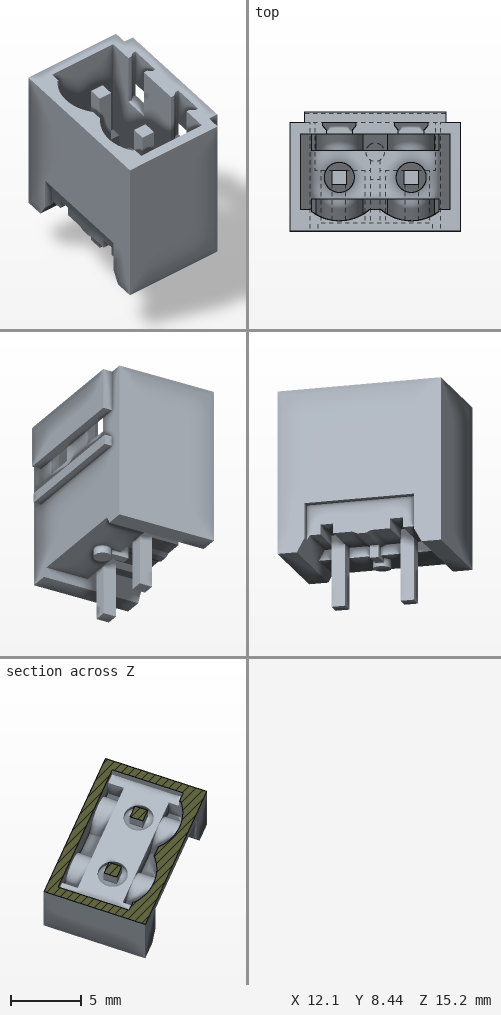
import cadquery as cq
import math


body_width = 12.05
body_depth = 7.7
body_height = 12.0
cavity_width = 10.55
cavity_front = 1.54
cavity_back = 6.89
floor_height = 3.8

pole_pitch = 5.08
pole_xs = (-pole_pitch / 2, pole_pitch / 2)

pin_side = 1.0
pin_y = 3.82
pin_bottom = -3.2
pin_top = 11.11
collar_radius = 1.06
collar_depth = 0.3

pocket_width = 9.03
front_pocket_back = 2.3
back_pocket_front = 5.7
dome_half_width = 1.28
dome_angle = math.radians(58)
dome_foot_half_width = 1.65
dome_below_floor = 0.08

scallop_front = 0.75
scallop_radius = 3.25

rib_width = 10.0
rib_back = 8.44
rib_height = 3.12
slot_depth = 4.2
slot_throat_width = 1.84
slot_wide_width = 2.35
slot_flare_start = 7.16
slot_flare_end = 7.46
bar_back = 8.31
bar_bottom = 6.0
bar_top = 6.75

channel_bottom_width = 9.21
channel_top_width = 7.69
channel_height = 1.35
rear_channel_height = 0.6
step_y = pin_y + pin_side / 2
notch_width = 0.95
notch_height = 2.07
recess_width = 8.09
recess_height = 3.57
recess_depth = 0.6
tongue_width = 0.64
tongue_base_width = 1.43
tongue_bottom = 1.19
strut_front = 3.65
strut_bottom = 0.27
boss_radius = 0.65
boss_y = 5.6

crown_height = dome_half_width * math.tan(dome_angle / 2)
flank_height = (dome_foot_half_width - dome_half_width) * math.tan(dome_angle)
pocket_bottom = floor_height - dome_below_floor - crown_height - flank_height


def block(x_size, y_range, z_range, x_center=0):
    """Box centred on x_center, between the given Y and Z limits."""
    y_min, y_max = y_range
    z_min, z_max = z_range
    corner = (x_center - x_size / 2, y_min, z_min)
    return cq.Workplane("XY").box(x_size, y_max - y_min, z_max - z_min, centered=False).translate(corner)


def front_profile(y_min):
    """Sketch plane at y_min with X right and Z up; extrude by a negative length to move toward +Y."""
    return cq.Workplane("XZ", origin=(0, y_min, 0))


def scallop(x):
    """Vertical cylinder that hollows the front wall before one pole."""
    center_y = scallop_front + scallop_radius
    cylinder = (
        cq.Workplane("XY", origin=(x, center_y, pocket_bottom))
        .circle(scallop_radius)
        .extrude(body_height - pocket_bottom)
    )
    clip = block(pocket_width, (0, front_pocket_back), (pocket_bottom, body_height))
    return cylinder.intersect(clip)


def dome(x, y_min, y_max):
    """Ridge along Y: a rounded crown with tangent sloping flanks."""
    shoulder_z = pocket_bottom + flank_height
    top_z = shoulder_z + crown_height
    return (
        front_profile(y_min)
        .moveTo(x - dome_foot_half_width, pocket_bottom)
        .lineTo(x - dome_half_width, shoulder_z)
        .threePointArc((x, top_z), (x + dome_half_width, shoulder_z))
        .lineTo(x + dome_foot_half_width, pocket_bottom)
        .close()
        .extrude(y_min - y_max)
    )


def latch_slot(x):
    """Dovetail slot in the rear wall, open at the top and, below the rib, at the back."""
    throat = slot_throat_width / 2
    wide = slot_wide_width / 2
    return (
        cq.Workplane("XY", origin=(x, 0, body_height - slot_depth))
        .polyline(
            [
                (-throat, cavity_back),
                (-throat, slot_flare_start),
                (-wide, slot_flare_end),
                (-wide, body_depth),
                (wide, body_depth),
                (wide, slot_flare_end),
                (throat, slot_flare_start),
                (throat, cavity_back),
            ]
        )
        .close()
        .extrude(slot_depth)
    )


def channel(height, y_min, y_max):
    """Channel along Y under the housing, narrowing upward at a fixed slope."""
    taper = (channel_bottom_width - channel_top_width) / 2 * height / channel_height
    half_bottom = channel_bottom_width / 2
    half_top = half_bottom - taper
    return (
        front_profile(y_min)
        .polyline([(-half_bottom, 0), (-half_top, height), (half_top, height), (half_bottom, 0)])
        .close()
        .extrude(y_min - y_max)
    )


def tongue():
    """Shallow dip in the middle of the front wall's lower edge."""
    return (
        front_profile(recess_depth)
        .polyline(
            [
                (-tongue_base_width / 2, channel_height),
                (-tongue_width / 2, tongue_bottom),
                (tongue_width / 2, tongue_bottom),
                (tongue_base_width / 2, channel_height),
            ]
        )
        .close()
        .extrude(recess_depth - step_y)
    )


housing = block(body_width, (0, body_depth), (0, body_height))
housing = housing.union(block(rib_width, (body_depth, rib_back), (body_height - rib_height, body_height)))
housing = housing.union(block(rib_width, (body_depth, bar_back), (bar_bottom, bar_top)))

housing = housing.cut(block(cavity_width, (cavity_front, cavity_back), (floor_height, body_height)))
for pocket_range in ((cavity_front, front_pocket_back), (back_pocket_front, cavity_back)):
    housing = housing.cut(block(pocket_width, pocket_range, (pocket_bottom, floor_height)))

for pole_x in pole_xs:
    housing = housing.cut(scallop(pole_x))
    housing = housing.cut(latch_slot(pole_x))
    collar = cq.Workplane("XY", origin=(pole_x, pin_y, floor_height)).circle(collar_radius)
    housing = housing.cut(collar.extrude(-collar_depth))

for pole_x in pole_xs:
    housing = housing.union(dome(pole_x, scallop_front, front_pocket_back))
    housing = housing.union(dome(pole_x, back_pocket_front, cavity_back))

housing = housing.cut(channel(channel_height, 0, step_y))
housing = housing.cut(channel(rear_channel_height, step_y, body_depth))
housing = housing.cut(block(recess_width, (0, recess_depth), (0, recess_height)))
for pole_x in pole_xs:
    notch_x = pole_x + math.copysign((pin_side - notch_width) / 2, pole_x)
    housing = housing.cut(block(notch_width, (0, step_y), (0, notch_height), notch_x))

boss = cq.Workplane("XY", origin=(0, boss_y, 0)).circle(boss_radius).extrude(rear_channel_height)
strut = block(tongue_width, (strut_front, boss_y), (strut_bottom, channel_height))
housing = housing.union(tongue()).union(boss).union(strut)

result = housing
for pole_x in pole_xs:
    pin_range = (pin_y - pin_side / 2, pin_y + pin_side / 2)
    result = result.union(block(pin_side, pin_range, (pin_bottom, pin_top), pole_x))